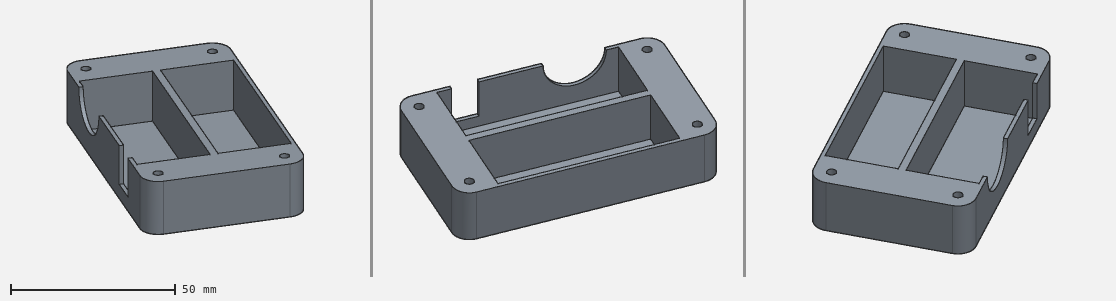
import cadquery as cq

length = 86.7
width = 51.9
height = 18.0
corner_radius = 5.8

pocket_length = 59.8
outer_wall = 1.4
divider = 2.5
floor_thickness = 1.0
pocket_width = (width - divider - 2 * outer_wall) / 2
pocket_depth = height - floor_thickness
pocket_offset = (pocket_width + divider) / 2

hole_diameter = 3.0
hole_x = length / 2 - corner_radius
hole_y = width / 2 - corner_radius

round_notch_x = -15.5
round_notch_radius = 10.4
square_notch_x = 20.55
square_notch_width = 9.0
square_notch_depth = 13.2


def make_block():
    block = cq.Workplane("XY").box(length, width, height, centered=(True, True, False))
    return block.edges("|Z").fillet(corner_radius)


def cut_pockets(body):
    return (
        body.faces(">Z").workplane(origin=(0, 0, height))
        .pushPoints([(0, -pocket_offset), (0, pocket_offset)])
        .rect(pocket_length, pocket_width)
        .cutBlind(-pocket_depth)
    )


def drill_corner_holes(body):
    holes = (
        cq.Workplane("XY")
        .rect(2 * hole_x, 2 * hole_y, forConstruction=True)
        .vertices()
        .circle(hole_diameter / 2)
        .extrude(height)
    )
    return body.cut(holes)


def cut_front_notches(body):
    front = cq.Workplane("XZ", origin=(0, -width / 2, 0))
    round_notch = (
        front.center(round_notch_x, height)
        .circle(round_notch_radius)
        .extrude(-outer_wall)
    )
    square_notch = (
        front.center(square_notch_x, height - square_notch_depth / 2)
        .rect(square_notch_width, square_notch_depth)
        .extrude(-outer_wall)
    )
    return body.cut(round_notch).cut(square_notch)


result = cut_front_notches(drill_corner_holes(cut_pockets(make_block())))